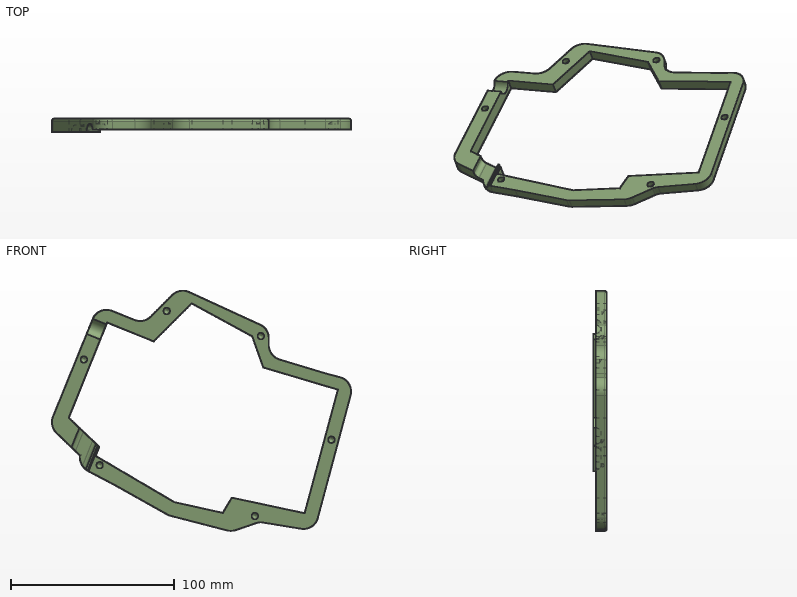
import cadquery as cq
import math

base_thickness = 6.8
raised_thickness = 8.5
back_edge_radius = 1.6

corner_radius = 9.1
lobe_radius = 10.0
bend_radius = 7.3
lobe_x = -74.8
outer_corners = [
    (-93.5, -9.1, corner_radius),
    (-63.5, 64.5, corner_radius),
    (-35.7, 53.5, corner_radius),
    (-13.7, 75.4, corner_radius),
    (40.8, 50.3, corner_radius),
    (40.8, 33.5, corner_radius),
    (75.4, 23.0, 0),
    (93.1, 18.3, corner_radius),
    (68.6, -73.4, corner_radius),
    (35.1, -67.9, bend_radius),
    (18.0, -73.7, corner_radius),
    (-20.3, -63.8, bend_radius),
    (-53.6, -45.2, 0),
    (lobe_x, -34.0, lobe_radius),
    (lobe_x, -27.0, 0),
]

opening_corners = [
    (-81.4, -4.2),
    (-58.0, 54.0),
    (-29.6, 42.5),
    (-6.4, 65.7),
    (30.5, 45.5),
    (37.3, 26.5),
    (82.9, 13.0),
    (62.5, -62.4),
    (18.1, -52.9),
    (12.6, -62.2),
    (-17.0, -55.6),
    (-65.0, -27.5),
    (-62.7, -22.0),
]

hole_diameter = 4.0
hole_depth = 3.7
drill_point_angle = 118
holes = [
    (-21.5, 61.1, base_thickness),
    (35.9, 45.7, base_thickness),
    (79.0, -17.5, base_thickness),
    (32.2, -64.2, base_thickness),
    (-62.5, -33.1, base_thickness),
    (-72.3, 31.5, raised_thickness),
]

rail_angle = math.radians(68)
along = cq.Vector(math.cos(rail_angle), 0, math.sin(rail_angle))
across = cq.Vector(math.sin(rail_angle), 0, -math.cos(rail_angle))

raised_top_along = 22.3
raised_side_across = -50.5
half_round_radius = 5.1

ridge_width = 0.7
ledge_width = 1.3
channel_width = 13.2
channel_corner_radius = 3.0

reach = 109.8


def rounded_outline(corners):
    """Closed wire on the XZ plane with a tangent arc at each corner that has a radius."""
    points = [cq.Vector(x, z) for x, z, _ in corners]
    path = None
    for i, (_, _, radius) in enumerate(corners):
        corner = points[i]
        back = (points[i - 1] - corner).normalized()
        ahead = (points[(i + 1) % len(points)] - corner).normalized()
        half_angle = back.getAngle(ahead) / 2
        setback = radius / math.tan(half_angle)
        start = corner + back * setback
        if path is None:
            path = cq.Workplane("XZ").moveTo(start.x, start.y)
        else:
            path = path.lineTo(start.x, start.y)
        if radius > 0:
            end = corner + ahead * setback
            bulge = radius / math.sin(half_angle) - radius
            middle = corner + (back + ahead).normalized() * bulge
            path = path.threePointArc((middle.x, middle.y), (end.x, end.y))
    return path.close()


def opening():
    return cq.Workplane("XZ").polyline(opening_corners).close().extrude(raised_thickness)


def material_above_base():
    """Everything in front of the base face that does not belong to the raised area."""
    front_slab = cq.Workplane("XZ", origin=(0, -base_thickness, 0)).rect(2 * reach, 2 * reach).extrude(reach)
    rail_plane = cq.Plane(origin=(0, 0, 0), xDir=across, normal=(0, -1, 0))
    raised_area = (
        cq.Workplane(rail_plane)
        .moveTo(raised_side_across, raised_top_along)
        .lineTo(raised_side_across, -reach)
        .lineTo(-reach, -reach)
        .lineTo(-reach, raised_top_along)
        .close()
        .extrude(raised_thickness)
    )
    return front_slab.cut(raised_area)


def half_round_groove():
    """Round groove across the left rail, centred on the top end of the raised face."""
    plane = cq.Plane(origin=across * -reach, xDir=along, normal=across)
    return (
        cq.Workplane(plane)
        .center(raised_top_along, raised_thickness)
        .circle(half_round_radius)
        .extrude(reach)
    )


def cable_channel():
    """Channel parallel to the rail with two rounded floor corners and a ledge before the ridge."""
    ledge_end = raised_side_across - ridge_width
    channel_right = ledge_end - ledge_width
    channel_left = channel_right - channel_width
    radius = channel_corner_radius
    floor_y = -base_thickness + radius
    plane = cq.Plane(origin=along * -reach, xDir=across, normal=along)
    return (
        cq.Workplane(plane)
        .moveTo(channel_left, -raised_thickness)
        .lineTo(channel_left, -base_thickness)
        .radiusArc((channel_left + radius, floor_y), radius)
        .lineTo(channel_right - radius, floor_y)
        .radiusArc((channel_right, -base_thickness), radius)
        .lineTo(ledge_end, -base_thickness)
        .lineTo(ledge_end, -raised_thickness)
        .close()
        .extrude(reach)
    )


def screw_holes():
    radius = hole_diameter / 2
    point_length = radius / math.tan(math.radians(drill_point_angle / 2))
    drill = (
        cq.Workplane("XY")
        .lineTo(radius, 0)
        .lineTo(radius, hole_depth)
        .lineTo(0, hole_depth + point_length)
        .close()
        .revolve(360, (0, 0, 0), (0, 1, 0))
    )
    cutters = cq.Workplane("XY")
    for x, z, thickness in holes:
        cutters = cutters.add(drill.translate((x, -thickness, z)))
    return cutters.combine()


body = rounded_outline(outer_corners).extrude(raised_thickness)
body = body.faces(">Y").edges().fillet(back_edge_radius)
result = (
    body.cut(opening())
    .cut(material_above_base())
    .cut(half_round_groove())
    .cut(cable_channel())
    .cut(screw_holes())
)